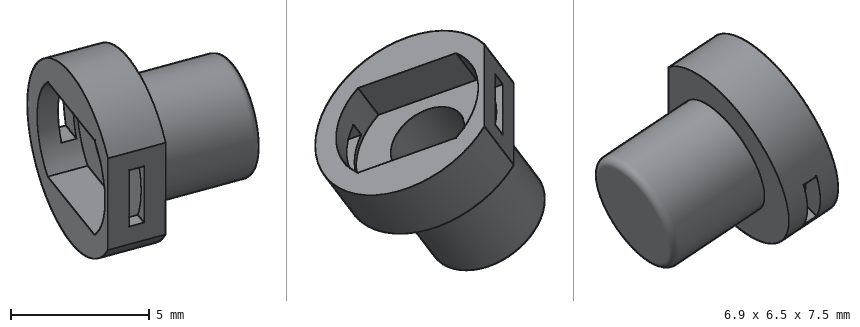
import cadquery as cq

flange_diameter = 7.5
flange_thickness = 2.3
overall_width = 6.9

overall_length = 6.5
shank_diameter = 4.7
shank_end_fillet = 0.3

recess_diameter = 5.8
recess_height = 4.2
recess_depth = 1.6
bore_diameter = 3.0
end_wall = (shank_diameter - bore_diameter) / 2
bore_depth = overall_length - end_wall

slot_front = 0.84
slot_width = 0.6
slot_height = 2.5


def cylinder(diameter, length):
    """Cylinder along +Y, starting at the front face."""
    return cq.Workplane("XZ").circle(diameter / 2).extrude(-length)


def box(x_min, y_min, size_x, size_y, size_z):
    """Box placed by its lowest X and Y, centred on Z = 0."""
    return cq.Workplane("XY").box(size_x, size_y, size_z, centered=(False, False, True)).translate(
        (x_min, y_min, 0)
    )


def flange():
    envelope = box(-flange_diameter / 2, 0, overall_width, flange_thickness, flange_diameter)
    return cylinder(flange_diameter, flange_thickness).intersect(envelope)


def shank():
    return cylinder(shank_diameter, overall_length).faces(">Y").edges().fillet(shank_end_fillet)


def recess():
    flats = box(-recess_diameter / 2, 0, recess_diameter, recess_depth, recess_height)
    return cylinder(recess_diameter, recess_depth).intersect(flats)


def cross_slot():
    return box(-flange_diameter / 2, slot_front, overall_width, slot_width, slot_height)


result = (
    flange()
    .union(shank())
    .cut(recess())
    .cut(cylinder(bore_diameter, bore_depth))
    .cut(cross_slot())
)